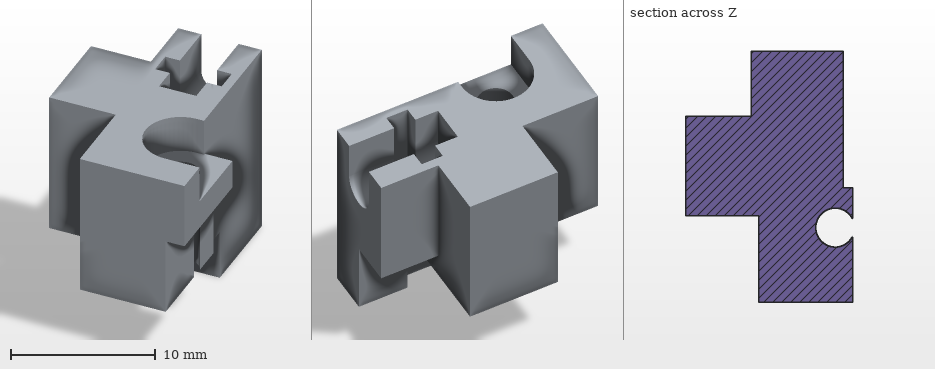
import cadquery as cq

body_height = 10.91
arm_height = 8.99
flange_height = 5.03
overall_height = 14.73

overall_width = 13.0
overall_length = 17.35
wing_front = 5.95
wing_back = 12.85
foot_left = 5.05
foot_right = 11.57
foot_back = 7.93
arm_left = 4.55
arm_right = 10.9

prong_left = 7.74
prong_step_x = 8.8
prong_front = 10.41
prong_step_y = 13.52

hole_diameter = 2.65
hole_x = 10.34
hole_y = 5.15
pocket_radius = hole_diameter
pocket_depth = 2.83

channel_width = 2.83
channel_front = 10.35
channel_axis_depth = 3.02
channel_x = (arm_left + arm_right) / 2
nut_width = 5.05
nut_front = 12.15
nut_back = 13.81
nut_depth = channel_axis_depth + nut_width / 2


def block(left, right, front, back, bottom, top=0.0):
    """Box given by its limits along X, Y and Z."""
    size = (right - left, back - front, top - bottom)
    return cq.Workplane("XY").box(*size, centered=False).translate((left, front, bottom))


def body():
    wing = block(0, arm_right, wing_front, wing_back, -body_height)
    arm = block(arm_left, arm_right, wing_front, overall_length, -arm_height)
    foot = block(foot_left, foot_right, 0, foot_back, -body_height)
    flange = block(foot_left, overall_width, 0, foot_back, -flange_height)
    return wing.union(arm).union(foot).union(flange)


def prong():
    narrow = block(prong_step_x, arm_right, prong_front, overall_length, -overall_height, -arm_height)
    wide = block(prong_left, arm_right, prong_step_y, overall_length, -overall_height, -arm_height)
    return narrow.union(wide)


def screw_pocket():
    round_end = (
        cq.Workplane("XY").center(hole_x, hole_y).circle(pocket_radius).extrude(-pocket_depth)
    )
    opening = block(
        hole_x, overall_width, hole_y - pocket_radius, hole_y + pocket_radius, -pocket_depth
    )
    strip = block(arm_right, overall_width, hole_y, foot_back, -pocket_depth)
    return round_end.union(opening).union(strip)


def screw_hole():
    return cq.Workplane("XY").center(hole_x, hole_y).circle(hole_diameter / 2).extrude(-body_height)


def screw_channel():
    radius = channel_width / 2
    round_bottom = (
        cq.Workplane("XZ", origin=(channel_x, overall_length, -channel_axis_depth))
        .circle(radius)
        .extrude(overall_length - channel_front)
    )
    sides = block(
        channel_x - radius, channel_x + radius, channel_front, overall_length, -channel_axis_depth
    )
    return round_bottom.union(sides)


def nut_slot():
    half = nut_width / 2
    return block(channel_x - half, channel_x + half, nut_front, nut_back, -nut_depth)


result = (
    body()
    .union(prong())
    .cut(screw_pocket())
    .cut(screw_hole())
    .cut(screw_channel())
    .cut(nut_slot())
)